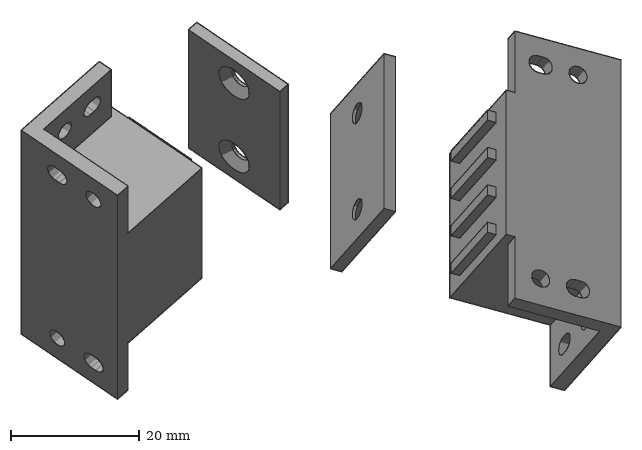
import cadquery as cq

bracket_height = 50.0
housing_width = 20.0
housing_depth = 20.0
wall = 2.5
side_wall_depth = 18.5
block_height = 27.0

bar_width = 12.9
bar_height = 1.9
bar_projection = 1.5
bar_pitch = 7.0
bar_count = 4

hole_diameter = 3.1
slot_length = 4.0
hole_end_distance = 5.0
front_hole_positions = (7.5, 15.0)
side_hole_positions = (7.5, 14.0)

plate_width = 19.0
plate_height = 29.0
plate_thickness = 2.0
plate_gap = 17.5
screw_pitch = 18.0
screw_diameter = 3.4
countersink_diameter = 6.3
countersink_angle = 90.0

middle_x = housing_width / 2
bar_back = housing_depth + bar_projection
plate_front = bar_back + plate_gap
hole_height = bracket_height / 2 - hole_end_distance


def box(x_size, y_size, z_size, x_start, y_start):
    """Box centred on Z = 0 and starting at the given X and Y."""
    shape = cq.Workplane("XY").box(x_size, y_size, z_size, centered=(False, False, True))
    return shape.translate((x_start, y_start, 0))


def drill_wall(body, plane, depth, hole_points, slot_points):
    """Cut round holes and slots from the outer face of a wall, given in plane coordinates."""
    holes = cq.Workplane(plane).pushPoints(hole_points).circle(hole_diameter / 2).extrude(depth)
    slots = cq.Workplane(plane).pushPoints(slot_points).slot2D(slot_length, hole_diameter).extrude(depth)
    return body.cut(holes).cut(slots)


def make_housing():
    front_wall = box(housing_width, wall, bracket_height, 0, 0)
    side_wall = box(wall, side_wall_depth, bracket_height, 0, 0)
    block = box(housing_width, housing_depth, block_height, 0, 0)
    body = front_wall.union(side_wall).union(block)

    bar = box(bar_width, bar_projection, bar_height, middle_x - bar_width / 2, housing_depth)
    for index in range(bar_count):
        bar_z = (index - (bar_count - 1) / 2) * bar_pitch
        body = body.union(bar.translate((0, 0, bar_z)))

    near_x, far_x = front_hole_positions
    body = drill_wall(
        body, "XZ", -wall,
        hole_points=[(far_x, hole_height), (near_x, -hole_height)],
        slot_points=[(near_x, hole_height), (far_x, -hole_height)],
    )
    near_y, far_y = side_hole_positions
    return drill_wall(
        body, "YZ", wall,
        hole_points=[(near_y, hole_height), (far_y, -hole_height)],
        slot_points=[(far_y, hole_height), (near_y, -hole_height)],
    )


def make_strike_plate():
    """Plate with two screw holes countersunk from the side facing the housing."""
    plate = box(plate_width, plate_thickness, plate_height, middle_x - plate_width / 2, plate_front)
    return (
        plate.faces("<Y").workplane(centerOption="CenterOfBoundBox")
        .pushPoints([(0, screw_pitch / 2), (0, -screw_pitch / 2)])
        .cskHole(screw_diameter, countersink_diameter, countersink_angle)
    )


housing = make_housing()
strike_plate = make_strike_plate()
result = cq.Compound.makeCompound([housing.val(), strike_plate.val()])